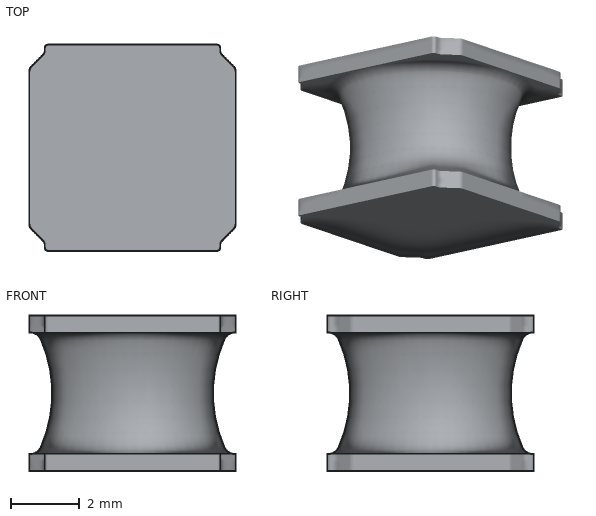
import cadquery as cq
import math

FLANGE_SIDE = 6.0
TOTAL_HEIGHT = 4.52
FLANGE_THICKNESS = 0.5

CORNER_SLOPE = 0.45
CORNER_STEP = 0.25
STEP_RADIUS = 0.1
SLOPE_RADIUS = 0.2

WAIST_RADIUS = 2.34
WAIST_ARC_RADIUS = 3.9
CORE_FILLET = 0.32

HALF_SIDE = FLANGE_SIDE / 2
INNER_Z = TOTAL_HEIGHT / 2 - FLANGE_THICKNESS


def make_flange(bottom_z):
    """Square plate with a stepped, sloped and rounded cut at every corner."""
    step_x = HALF_SIDE - CORNER_SLOPE
    step_y = HALF_SIDE - CORNER_STEP

    wide_block = (
        cq.Workplane("XY")
        .box(FLANGE_SIDE, 2 * step_y, FLANGE_THICKNESS)
        .edges("|Z")
        .chamfer(CORNER_SLOPE)
    )
    narrow_block = cq.Workplane("XY").box(2 * step_x, FLANGE_SIDE, FLANGE_THICKNESS)
    plate = wide_block.union(narrow_block)

    slope_ends = cq.selectors.BoxSelector(
        (-FLANGE_SIDE, -HALF_SIDE + CORNER_STEP / 2, -FLANGE_THICKNESS),
        (FLANGE_SIDE, HALF_SIDE - CORNER_STEP / 2, FLANGE_THICKNESS),
    )
    plate = plate.edges("|Z").edges(slope_ends).fillet(SLOPE_RADIUS)
    plate = plate.edges("|Z and (<Y or >Y)").fillet(STEP_RADIUS)
    return plate.translate((0, 0, bottom_z + FLANGE_THICKNESS / 2))


def make_core():
    """Revolved concave core that flares through a tangent fillet onto each flange."""
    arc_center_x = WAIST_RADIUS + WAIST_ARC_RADIUS
    fillet_center_z = INNER_Z - CORE_FILLET

    tangent_angle = math.asin(fillet_center_z / (WAIST_ARC_RADIUS - CORE_FILLET))
    tangent_x = arc_center_x - WAIST_ARC_RADIUS * math.cos(tangent_angle)
    tangent_z = WAIST_ARC_RADIUS * math.sin(tangent_angle)
    fillet_center_x = tangent_x + CORE_FILLET * math.cos(tangent_angle)

    middle_angle = (tangent_angle + math.pi / 2) / 2
    middle_x = fillet_center_x - CORE_FILLET * math.cos(middle_angle)
    middle_z = fillet_center_z + CORE_FILLET * math.sin(middle_angle)

    return (
        cq.Workplane("XZ")
        .moveTo(0, -INNER_Z)
        .lineTo(fillet_center_x, -INNER_Z)
        .threePointArc((middle_x, -middle_z), (tangent_x, -tangent_z))
        .threePointArc((WAIST_RADIUS, 0), (tangent_x, tangent_z))
        .threePointArc((middle_x, middle_z), (fillet_center_x, INNER_Z))
        .lineTo(0, INNER_Z)
        .close()
        .revolve(360, (0, 0, 0), (0, 1, 0))
    )


top_flange = make_flange(INNER_Z)
bottom_flange = make_flange(-TOTAL_HEIGHT / 2)
result = make_core().union(top_flange).union(bottom_flange)